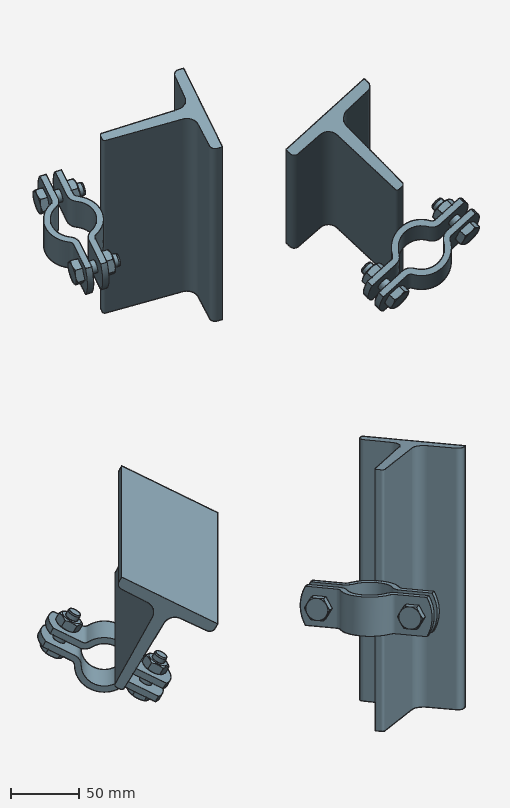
import cadquery as cq
import math

bar_length = 200.0
flange_width = 80.0
section_depth = 80.0
thickness = 9.0
taper = 0.02
root_radius = thickness
toe_radius = thickness / 2
web_end_radius = 2.0

strap_thickness = 5.0
strap_width = 30.0
strap_gap = 7.0
clamp_length = 102.0
bore_radius = 17.0
bend_radius = 4.0
ear_end_radius = 30.0
weld_depth = 0.1

bolt_spacing = 72.0
bolt_diameter = 10.0
bolt_length = 30.0
bolt_tip_diameter = 9.2
bolt_tip_length = 1.2
hex_across_flats = 17.0
head_height = 6.5
nut_height = 8.0
nut_face_diameter = 15.5
hex_chamfer_angle = 30.0

arch_radius = bore_radius + strap_thickness
ear_inner = strap_gap / 2
ear_outer = ear_inner + strap_thickness
grip_length = 2 * ear_outer
web_end_y = arch_radius - weld_depth
flange_back_y = web_end_y + section_depth


def make_t_bar():
    """Tapered T-section with rounded roots, flange toes and web end."""
    half_flange = flange_width / 2
    tip_thickness = thickness - taper * half_flange / 2
    half_web_end = thickness / 2 - taper * section_depth / 2

    depth_at_web_end = tip_thickness + taper * (half_flange - half_web_end)
    root_depth = (depth_at_web_end - taper**2 * section_depth) / (1 - taper**2)
    root_x = half_web_end + taper * (section_depth - root_depth)
    root_y = flange_back_y - root_depth
    toe_y = flange_back_y - tip_thickness

    section = [
        (-half_flange, flange_back_y),
        (half_flange, flange_back_y),
        (half_flange, toe_y),
        (root_x, root_y),
        (half_web_end, web_end_y),
        (-half_web_end, web_end_y),
        (-root_x, root_y),
        (-half_flange, toe_y),
    ]
    bar = cq.Workplane("XY").polyline(section).close().extrude(bar_length / 2, both=True)
    for corner_x, corner_y, radius in (
        (half_flange, toe_y, toe_radius),
        (root_x, root_y, root_radius),
        (half_web_end, web_end_y, web_end_radius),
    ):
        for side in (-1, 1):
            corner = cq.selectors.NearestToPointSelector((side * corner_x, corner_y, 0))
            bar = bar.edges("|Z").edges(corner).fillet(radius)
    return bar


def make_strap():
    """Back half of the clamp: two flat ears joined by an arch."""
    bend_y = ear_outer + bend_radius
    bend_x = math.sqrt((arch_radius + bend_radius) ** 2 - bend_y**2)
    bend_angle = math.atan2(bend_y, bend_x)
    half_length = clamp_length / 2

    def on_arch(radius, angle):
        return radius * math.cos(angle), radius * math.sin(angle)

    def on_bend(radius, angle, side):
        return side * (bend_x - radius * math.cos(angle)), bend_y - radius * math.sin(angle)

    mid_bend = (bend_angle + math.pi / 2) / 2
    outer_bend_radius = bend_radius + strap_thickness
    profile = (
        cq.Workplane("XY")
        .moveTo(half_length, ear_inner)
        .lineTo(half_length, ear_outer)
        .lineTo(bend_x, ear_outer)
        .threePointArc(on_bend(bend_radius, mid_bend, 1), on_arch(arch_radius, bend_angle))
        .threePointArc((0, arch_radius), on_arch(arch_radius, math.pi - bend_angle))
        .threePointArc(on_bend(bend_radius, mid_bend, -1), (-bend_x, ear_outer))
        .lineTo(-half_length, ear_outer)
        .lineTo(-half_length, ear_inner)
        .lineTo(-bend_x, ear_inner)
        .threePointArc(
            on_bend(outer_bend_radius, mid_bend, -1),
            on_arch(bore_radius, math.pi - bend_angle),
        )
        .threePointArc((0, bore_radius), on_arch(bore_radius, bend_angle))
        .threePointArc(on_bend(outer_bend_radius, mid_bend, 1), (bend_x, ear_inner))
        .close()
    )
    strap = profile.extrude(strap_width / 2, both=True)

    half_width = strap_width / 2
    corner_x = half_length - ear_end_radius + math.sqrt(ear_end_radius**2 - half_width**2)
    face_outline = (
        cq.Workplane("XZ")
        .moveTo(-corner_x, -half_width)
        .lineTo(corner_x, -half_width)
        .threePointArc((half_length, 0), (corner_x, half_width))
        .lineTo(-corner_x, half_width)
        .threePointArc((-half_length, 0), (-corner_x, -half_width))
        .close()
        .extrude(2 * arch_radius, both=True)
    )
    return strap.intersect(face_outline)


def make_hex(height, face_diameter, chamfer_both_ends):
    """Hexagonal prism rising from Z = 0, with conical corner chamfers."""
    corner_radius = hex_across_flats / math.sqrt(3)
    face_radius = face_diameter / 2
    chamfer_height = (corner_radius - face_radius) * math.tan(math.radians(hex_chamfer_angle))
    envelope = [(0, height), (face_radius, height), (corner_radius, height - chamfer_height)]
    if chamfer_both_ends:
        envelope += [(corner_radius, chamfer_height), (face_radius, 0), (0, 0)]
    else:
        envelope += [(corner_radius, 0), (0, 0)]
    cone = cq.Workplane("XZ").polyline(envelope).close().revolve(360, (0, 0), (0, 1))
    prism = cq.Workplane("XY").polygon(6, 2 * corner_radius).extrude(height)
    return prism.intersect(cone)


def make_bolt():
    """Bolt and nut clamping both ears, along +Y with the head at the front."""
    head = make_hex(head_height, hex_across_flats, False).rotate((0, 0, 0), (1, 0, 0), 180)
    nut = make_hex(nut_height, nut_face_diameter, True).translate((0, 0, grip_length))
    shank_radius = bolt_diameter / 2
    shank_outline = [
        (0, 0),
        (shank_radius, 0),
        (shank_radius, bolt_length - bolt_tip_length),
        (bolt_tip_diameter / 2, bolt_length),
        (0, bolt_length),
    ]
    shank = cq.Workplane("XZ").polyline(shank_outline).close().revolve(360, (0, 0), (0, 1))
    bolt = shank.union(head).union(nut)
    return bolt.rotate((0, 0, 0), (1, 0, 0), -90).translate((0, -ear_outer, 0))


back_strap = make_strap()
front_strap = back_strap.mirror("XZ")
bolt = make_bolt()

result = make_t_bar().union(back_strap).union(front_strap)
for side in (-1, 1):
    result = result.union(bolt.translate((side * bolt_spacing / 2, 0, 0)))